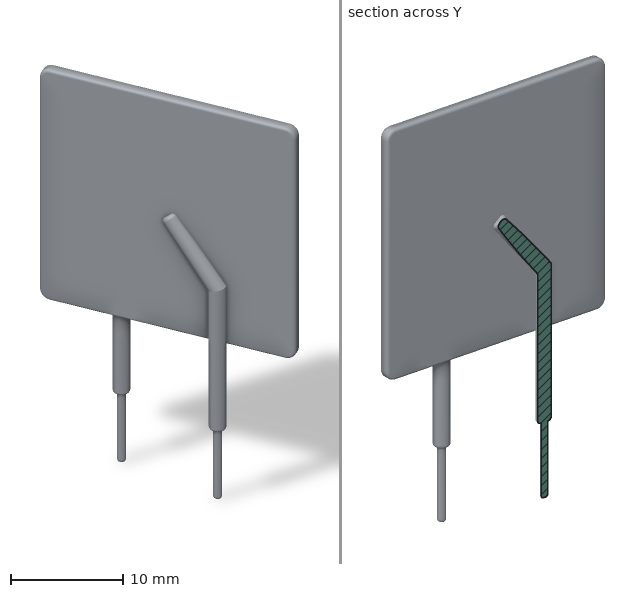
import cadquery as cq

plate_side = 24.9
plate_thickness = 1.1
plate_corner_radius = 1.0
plate_edge_fillet = 0.3

total_height = 41.4
lead_offset_x = 5.1
sleeve_diameter = 1.6
outer_depth = 3.5
lead_offset_y = (outer_depth - sleeve_diameter) / 2
sleeve_bottom_z = -33.9
sleeve_bend_z = -18.67
sleeve_end_fillet = 0.37

sleeve_top_x = 0.1
sleeve_top_y = -0.35
sleeve_top_z = -12.5

pin_diameter = 0.83
pin_tip_fillet = 0.35


def make_plate():
    """Square plate with rounded corners and rounded front and back edges."""
    return (
        cq.Workplane("XY")
        .box(plate_side, plate_thickness, plate_side)
        .edges("|Y")
        .fillet(plate_corner_radius)
        .faces("<Y or >Y")
        .edges()
        .fillet(plate_edge_fillet)
        .translate((0, 0, -plate_side / 2))
    )


def make_sleeve():
    """Insulating sleeve that rises straight, then bends sharply towards the plate centre."""
    bottom = (lead_offset_x, -lead_offset_y, sleeve_bottom_z)
    bend = (lead_offset_x, -lead_offset_y, sleeve_bend_z)
    top = (sleeve_top_x, sleeve_top_y, sleeve_top_z)
    path = cq.Workplane("XY").polyline([bottom, bend, top])
    slant_direction = cq.Vector(*top) - cq.Vector(*bend)
    sleeve = (
        cq.Workplane("XY", origin=bottom)
        .circle(sleeve_diameter / 2)
        .sweep(path, transition="right")
    )
    sleeve = sleeve.faces("<Z").edges().fillet(sleeve_end_fillet)
    end_face = cq.DirectionMinMaxSelector(slant_direction, True)
    return sleeve.faces(end_face).edges().fillet(sleeve_end_fillet)


def make_pin():
    """Bare wire below the sleeve, rounded at its tip."""
    return (
        cq.Workplane("XY", origin=(lead_offset_x, -lead_offset_y, -total_height))
        .circle(pin_diameter / 2)
        .extrude(total_height + sleeve_bend_z)
        .faces("<Z")
        .edges()
        .fillet(pin_tip_fillet)
    )


front_lead = make_sleeve().union(make_pin())

result = make_plate()
for angle in (0, 180):
    result = result.union(front_lead.rotate((0, 0, 0), (0, 0, 1), angle))